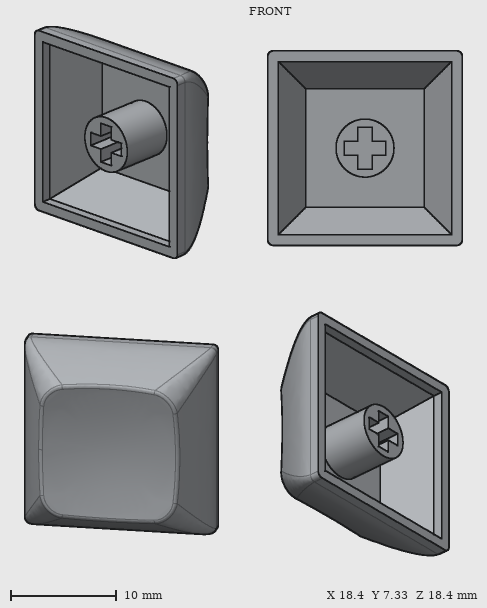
import cadquery as cq

base_width = 18.41
rim_height = 1.0
base_corner_radius = 0.55

mid_width = 16.97
mid_height = 3.59
mid_corner_radius = 1.1
top_width = 12.52
top_height = 7.64
top_corner_radius = 2.3

dish_radius = 28.54
dish_floor_height = 6.19
top_edge_fillet = 0.37

cavity_width = 16.35
cavity_floor_width = 11.2
cavity_depth = 5.5
stem_diameter = 5.49
cross_length = 3.95
cross_arm_width = 1.33


def plane_at(height):
    """XZ plane facing +Y, placed at a height above the rim face."""
    return cq.Workplane(cq.Plane(origin=(0, height, 0), xDir=(1, 0, 0), normal=(0, 1, 0)))


def rounded_square(width, corner_radius, height):
    """Filleted square section at a height above the rim face."""
    sketch = cq.Sketch().rect(width, width).vertices().fillet(corner_radius)
    return sketch.moved(cq.Location(cq.Vector(0, 0, height)))


def outer_body():
    """Straight rim, smoothly lofted body and filleted spherical dish."""
    rim_face = rounded_square(base_width, base_corner_radius, 0)
    rim = plane_at(0).placeSketch(rim_face).extrude(rim_height)
    body = plane_at(0).placeSketch(
        rounded_square(base_width, base_corner_radius, rim_height),
        rounded_square(mid_width, mid_corner_radius, mid_height),
        rounded_square(top_width, top_corner_radius, top_height),
    ).loft()
    dish_center = (0, dish_floor_height + dish_radius, 0)
    dish = cq.Workplane("XZ").sphere(dish_radius).translate(dish_center)
    dished = body.cut(dish)
    dished = dished.faces(">Y").edges().fillet(top_edge_fillet)
    return rim.union(dished)


def cavity():
    """Straight-sided mouth followed by a square taper to the flat floor."""
    mouth = plane_at(0).rect(cavity_width, cavity_width).extrude(rim_height)
    taper = (
        plane_at(rim_height)
        .rect(cavity_width, cavity_width)
        .workplane(offset=cavity_depth - rim_height)
        .rect(cavity_floor_width, cavity_floor_width)
        .loft(ruled=True)
    )
    return mouth.union(taper)


def stem():
    """Round post standing on the cavity floor, flush with the rim face."""
    return plane_at(0).circle(stem_diameter / 2).extrude(cavity_depth)


def cross_socket():
    """Plus-shaped socket in the end of the stem."""
    across = plane_at(0).rect(cross_length, cross_arm_width).extrude(cavity_depth)
    upright = plane_at(0).rect(cross_arm_width, cross_length).extrude(cavity_depth)
    return across.union(upright)


result = outer_body().cut(cavity()).union(stem()).cut(cross_socket())